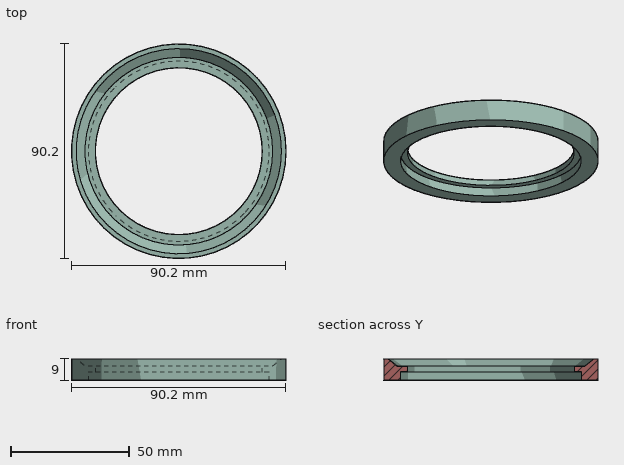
import cadquery as cq

outer_diameter = 90.2
height = 9.0

bore_diameter = 70.0
web_top = 6.0
web_thickness = 2.4
web_bottom = web_top - web_thickness

recess_top_diameter = 86.2
recess_floor_diameter = 78.8

counterbore_diameter = 75.9

section = [
    (counterbore_diameter / 2, 0),
    (outer_diameter / 2, 0),
    (outer_diameter / 2, height),
    (recess_top_diameter / 2, height),
    (recess_floor_diameter / 2, web_top),
    (bore_diameter / 2, web_top),
    (bore_diameter / 2, web_bottom),
    (counterbore_diameter / 2, web_bottom),
]

result = cq.Workplane("XZ").polyline(section).close().revolve(360, (0, 0, 0), (0, 1, 0))